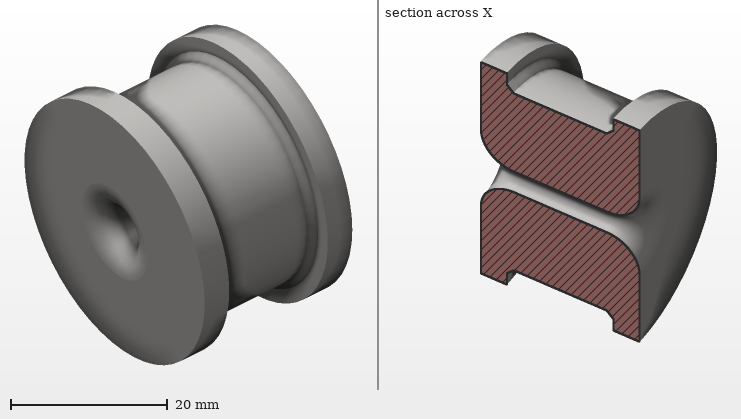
import cadquery as cq

flange_diameter = 37.0
width = 24.0
flange_thickness = 4.0
core_diameter = 31.0
corner_chamfer = 1.0
bore_diameter = 3.5
mouth_radius = 5.0

half_width = width / 2
flange_radius = flange_diameter / 2
core_radius = core_diameter / 2
flange_inner_y = half_width - flange_thickness


def roller_body():
    """Revolve the flanged outline, with sloped corners, about the Y axis."""
    slope_radius = core_radius + corner_chamfer
    slope_y = flange_inner_y - corner_chamfer
    outline = [
        (0, -half_width),
        (flange_radius, -half_width),
        (flange_radius, -flange_inner_y),
        (slope_radius, -flange_inner_y),
        (core_radius, -slope_y),
        (core_radius, slope_y),
        (slope_radius, flange_inner_y),
        (flange_radius, flange_inner_y),
        (flange_radius, half_width),
        (0, half_width),
    ]
    return cq.Workplane("XY").polyline(outline).close().revolve(360, (0, 0), (0, 1))


def flared_bore(body):
    """Cut the through bore and round both of its rims."""
    bore = cq.Workplane("XZ").circle(bore_diameter / 2).extrude(half_width, both=True)
    rim_selector = cq.selectors.RadiusNthSelector(0)
    return body.cut(bore).edges("%CIRCLE").edges(rim_selector).fillet(mouth_radius)


result = flared_bore(roller_body())